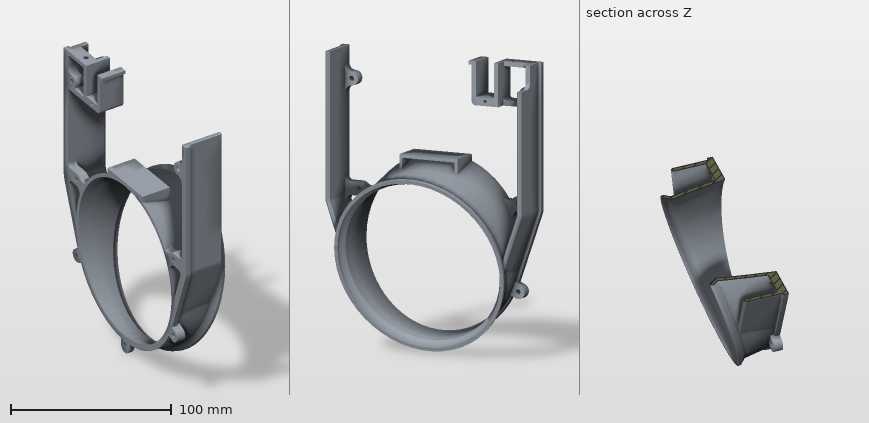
import cadquery as cq
import math


TILT = 15.0
TUBE_OUTER_R = 55.7
TUBE_INNER_R = 53.3
MIDDLE_R = (TUBE_OUTER_R + TUBE_INNER_R) / 2
TUBE_LENGTH = 34.9
FLANGE_R = 58.5
FLANGE_RIM = 2.0
FLANGE_TAPER = 3.6
AXIS_Y = math.cos(math.radians(TILT))
AXIS_Z = -math.sin(math.radians(TILT))

OVERLAP = 1.0

TOP_Z = 120.4
HEIGHT = 188.02
HALF_WIDTH = 70.0
PLATE_DEPTH = 3.5
ROOT_FILLET = 0.7
PLATE_STEP = 1.8
WALL = 3.0
WALL_DEPTH = 28.5
WALL_CHAMFER = 1.2
FRAME_WIDTH = PLATE_STEP + WALL
INNER_X = HALF_WIDTH - FRAME_WIDTH
BEND_Z = 25.5
TAPER = 19.3
TAPER_END_Z = -22.0
WALL_BEND_R = 8.0

RING_WIDTH = 4.0

BOSS_R = 4.5
BOSS_DEPTH = 6.1
SCREW_R = 1.65
UPPER_BOSS_X = INNER_X - BOSS_R
UPPER_BOSS_Z = 100.1
MIDDLE_BOSS_X = 55.4
MIDDLE_BOSS_Z = 30.5
SIDE_LUG_X = 55.3
SIDE_LUG_Z = -25.6
BOTTOM_HOLE_Z = -61.7
BOTTOM_LUG_Z = TOP_Z - HEIGHT + BOSS_R
LUG_BACK_OFFSET = 20.4

WEB_CORNER_R = 3.0
WEB_SHOULDER_X = 51.6
WEB_SHOULDER_DROP = 1.7
WEB_VALLEY_X = 48.3
WEB_VALLEY_DROP = 2.8
SLOT_TOP_Z = 26.2
SLOT_TIP_Z = -1.0
SLOT_SMALL_R = 2.8
SLOT_LARGE_R = 5.5
SLOT_FRAME_WIDTH = 5.1

SHEET = 2.9
WINDOW_RIGHT_X = -47.1
WINDOW_FLOOR_Z = TOP_Z - 24.4
WINDOW_TOP_R = 2.0
WINDOW_BOTTOM_R = 1.5
BOSS_FOOT_X = -57.2
CHANNEL_LEFT_X = WINDOW_RIGHT_X + SHEET
CHANNEL_RIGHT_X = -31.6
CHANNEL_FLOOR_Z = TOP_Z - 22.5
BRACKET_BOTTOM_Z = TOP_Z - 27.8
BRACKET_CORNER_R = 2.5
ROOF_DEPTH = 9.5
FLOOR_DEPTH = 10.6
CHANNEL_DEPTH = 17.5
LIP = 2.3
ROOF_HOLE_X = -52.5
ROOF_HOLE_Y = 5.3
ROOF_HOLE_R = 1.8
CHANNEL_HOLE_X = (CHANNEL_LEFT_X + CHANNEL_RIGHT_X) / 2
CHANNEL_HOLE_Z = TOP_Z - 25.0
CHANNEL_HOLE_R = 1.1
NOTCH_Y = 15.2
NOTCH_Z = TOP_Z - 15.0
NOTCH_R = 4.0

PAD_HALF_WIDTH = 20.1
PAD_TOP_Z = TOP_Z - 62.4
PAD_DEPTH = 20.3
PAD_ROOF = 2.3
PAD_SIDE = 1.8


def front_sketch(y=0.0):
    """Sketch plane with x and z as its axes; a negative extrusion runs toward +Y."""
    return cq.Workplane("XZ", origin=(0, y, 0))


def front_box(x0, x1, z0, z1, depth, y=0.0):
    corners = [(x0, z0), (x1, z0), (x1, z1), (x0, z1)]
    return front_sketch(y).polyline(corners).close().extrude(-depth)


def peg(x, z, radius, depth):
    return front_sketch().center(x, z).circle(radius).extrude(-depth)


def both_sides(shape):
    return shape.union(shape.mirror("YZ"))


def tilted_plane(axial):
    return cq.Plane(origin=(0, axial * AXIS_Y, axial * AXIS_Z), xDir=(1, 0, 0), normal=(0, AXIS_Y, AXIS_Z))


def tilted_disc(radius, start, length):
    return cq.Workplane(tilted_plane(start)).circle(radius).extrude(length)


def frame_x(z, inset):
    """Left x of the frame outline at height z, moved inward by inset."""
    slope = math.radians(TAPER)
    straight = -HALF_WIDTH + inset
    tapered = -HALF_WIDTH + (BEND_Z - z) * math.tan(slope) + inset / math.cos(slope)
    return max(straight, tapered)


def bend_z(inset):
    """Height where the straight and tapered sides meet, at this inset."""
    slope = math.radians(TAPER)
    return BEND_Z + inset * (1 / math.cos(slope) - 1) / math.tan(slope)


def side_strip(outer_inset, inner_inset, depth):
    """Bent strip that follows the left outline between two insets."""
    points = [
        (frame_x(TOP_Z, outer_inset), TOP_Z),
        (frame_x(TOP_Z, outer_inset), bend_z(outer_inset)),
        (frame_x(TAPER_END_Z, outer_inset), TAPER_END_Z),
        (frame_x(TAPER_END_Z, inner_inset), TAPER_END_Z),
        (frame_x(TOP_Z, inner_inset), bend_z(inner_inset)),
        (frame_x(TOP_Z, inner_inset), TOP_Z),
    ]
    strip = front_sketch().polyline(points).close().extrude(-depth)
    for (x, z), inset in ((points[1], outer_inset), (points[4], inner_inset)):
        bend = cq.selectors.NearestToPointSelector((x, depth / 2, z))
        strip = strip.edges("|Y").edges(bend).fillet(WALL_BEND_R + PLATE_STEP - inset)
    return strip


def side_frame():
    """Left side of the front plate with the deep wall standing on it."""
    plate = side_strip(0, SLOT_FRAME_WIDTH, PLATE_DEPTH)
    plate = plate.cut(front_box(-INNER_X, 0, BEND_Z + WEB_CORNER_R, TOP_Z, PLATE_DEPTH))
    wall = side_strip(PLATE_STEP, FRAME_WIDTH, WALL_DEPTH)
    wall = wall.faces(">Y").edges("not |X").chamfer(WALL_CHAMFER)
    frame = plate.union(wall)
    root_x = HALF_WIDTH - PLATE_STEP
    root_places = (
        (-root_x, (TOP_Z + BEND_Z) / 2),
        (-root_x, bend_z(PLATE_STEP)),
        (frame_x((BEND_Z + TAPER_END_Z) / 2, PLATE_STEP), (BEND_Z + TAPER_END_Z) / 2),
    )
    roots = cq.selectors.NearestToPointSelector((root_places[0][0], PLATE_DEPTH, root_places[0][1]))
    for x, z in root_places[1:]:
        roots = roots + cq.selectors.NearestToPointSelector((x, PLATE_DEPTH, z))
    return frame.edges(roots).fillet(ROOT_FILLET)


def ellipse_point(radius, z):
    """Left point at height z of the ellipse a tilted cylinder leaves in the front face."""
    return (-radius * math.sqrt(1 - (z * AXIS_Y / radius) ** 2), z)


def web():
    """Boss web that joins the left side wall to the tube."""
    top = MIDDLE_BOSS_Z + BOSS_R
    valley = top - WEB_VALLEY_DROP
    shoulder = (-WEB_SHOULDER_X, top - WEB_SHOULDER_DROP)
    tube_top = ellipse_point(MIDDLE_R, top)
    tube_low = ellipse_point(MIDDLE_R, SLOT_TIP_Z)
    return (
        front_sketch()
        .moveTo(-INNER_X - OVERLAP, top + WEB_CORNER_R)
        .lineTo(-INNER_X, top + WEB_CORNER_R)
        .radiusArc((-INNER_X + WEB_CORNER_R, top), -WEB_CORNER_R)
        .lineTo(-MIDDLE_BOSS_X, top)
        .tangentArcPoint(shoulder, relative=False)
        .threePointArc((-WEB_VALLEY_X, valley), tube_top)
        .threePointArc(ellipse_point(MIDDLE_R, (top + SLOT_TIP_Z) / 2), tube_low)
        .lineTo(frame_x(SLOT_TIP_Z, FRAME_WIDTH - OVERLAP), SLOT_TIP_Z)
        .lineTo(frame_x(BEND_Z, FRAME_WIDTH - OVERLAP), BEND_Z)
        .close()
        .extrude(-BOSS_DEPTH)
    )


def slot():
    """Rounded triangular opening between the left side wall and the tube."""
    corner_left = (frame_x(SLOT_TOP_Z, SLOT_FRAME_WIDTH), SLOT_TOP_Z)
    corner_right = ellipse_point(TUBE_OUTER_R, SLOT_TOP_Z)
    tip = (frame_x(SLOT_TIP_Z, SLOT_FRAME_WIDTH), SLOT_TIP_Z)
    middle = ellipse_point(MIDDLE_R, (SLOT_TOP_Z + SLOT_TIP_Z) / 2)
    hole = (
        front_sketch().moveTo(*tip).lineTo(*corner_left).lineTo(*corner_right)
        .threePointArc(middle, tip).close().extrude(-WALL_DEPTH)
    )
    for corner, radius in ((corner_left, SLOT_SMALL_R), (corner_right, SLOT_LARGE_R)):
        nearest = cq.selectors.NearestToPointSelector((corner[0], WALL_DEPTH / 2, corner[1]))
        hole = hole.edges("|Y").edges(nearest).fillet(radius)
    return hole


def boss_fillet(direction):
    """Concave corner from an upper boss to the left wall, above (+1) or below (-1) the boss."""
    wall_end = UPPER_BOSS_Z + direction * 2 * BOSS_R
    return (
        front_sketch()
        .moveTo(-INNER_X - OVERLAP, UPPER_BOSS_Z)
        .lineTo(-INNER_X - OVERLAP, wall_end)
        .lineTo(-INNER_X, wall_end)
        .radiusArc((-UPPER_BOSS_X, UPPER_BOSS_Z + direction * BOSS_R), -direction * BOSS_R)
        .lineTo(-UPPER_BOSS_X, UPPER_BOSS_Z)
        .close()
        .extrude(-BOSS_DEPTH)
    )


def upper_boss():
    boss = peg(-UPPER_BOSS_X, UPPER_BOSS_Z, BOSS_R, BOSS_DEPTH)
    return boss.union(boss_fillet(1)).union(boss_fillet(-1))


def lug(x, z):
    """Round lug joined to the ring by a straight radial neck."""
    reach = math.hypot(x, z)
    neck = front_sketch().rect(reach, 2 * BOSS_R).extrude(-BOSS_DEPTH).translate((reach / 2, 0, 0))
    neck = neck.rotate((0, 0, 0), (0, 1, 0), -math.degrees(math.atan2(z, x)))
    return peg(x, z, BOSS_R, BOSS_DEPTH).union(neck)


def bottom_lug():
    """Lowest lug; its back is cut parallel to the flange."""
    return lug(0, BOTTOM_LUG_Z).cut(tilted_disc(2 * FLANGE_R, LUG_BACK_OFFSET, TUBE_LENGTH))


def ring():
    """Lower half of the oval rim round the tube mouth."""
    height = TUBE_INNER_R / AXIS_Y + RING_WIDTH
    oval = cq.Workplane("XZ").ellipse(TUBE_INNER_R + RING_WIDTH, height).extrude(-PLATE_DEPTH)
    return oval.cut(front_box(-HALF_WIDTH, HALF_WIDTH, 0, HALF_WIDTH, PLATE_DEPTH))


def flared_bar(radius, mouth_radius):
    """Tilted round bar that flares to mouth_radius over its last stretch."""
    rim_start = TUBE_LENGTH - FLANGE_RIM
    taper_start = rim_start - FLANGE_TAPER
    bar = tilted_disc(radius, -TUBE_LENGTH, 2 * TUBE_LENGTH)
    cone = (
        cq.Workplane(tilted_plane(taper_start)).circle(radius)
        .workplane(offset=FLANGE_TAPER).circle(mouth_radius).loft()
    )
    return bar.union(cone).union(tilted_disc(mouth_radius, rim_start, FLANGE_RIM))


def tube():
    in_front = front_box(-2 * HALF_WIDTH, 2 * HALF_WIDTH, -TOP_Z, TOP_Z, TOP_Z, y=-TOP_Z)
    return flared_bar(TUBE_OUTER_R, FLANGE_R).cut(in_front)


def bore():
    return flared_bar(TUBE_INNER_R, FLANGE_R - (TUBE_OUTER_R - TUBE_INNER_R))


def corner_fill(x, z, toward_x, toward_z, radius, depth):
    """Concave round for an inside corner whose free space lies toward (toward_x, toward_z)."""
    arc_end = (x, z + toward_z * radius)
    return (
        front_sketch()
        .moveTo(x, z)
        .lineTo(x + toward_x * radius, z)
        .radiusArc(arc_end, toward_x * toward_z * radius)
        .close()
        .extrude(-depth)
    )


def bracket():
    right = CHANNEL_RIGHT_X + SHEET
    left = -INNER_X - OVERLAP
    channel = front_box(WINDOW_RIGHT_X, right, BRACKET_BOTTOM_Z, TOP_Z, CHANNEL_DEPTH)
    channel = channel.edges("|Y and >X and <Z").fillet(BRACKET_CORNER_R)
    channel = channel.cut(front_box(CHANNEL_LEFT_X, CHANNEL_RIGHT_X, CHANNEL_FLOOR_Z, TOP_Z, CHANNEL_DEPTH))
    lip = front_box(right, right + LIP, TOP_Z - LIP, TOP_Z, CHANNEL_DEPTH)
    roof = front_box(left, WINDOW_RIGHT_X, TOP_Z - SHEET, TOP_Z, ROOF_DEPTH)
    floor = front_box(left, WINDOW_RIGHT_X, BRACKET_BOTTOM_Z, WINDOW_FLOOR_Z, FLOOR_DEPTH)
    boss_foot = front_box(left, BOSS_FOOT_X, BRACKET_BOTTOM_Z, UPPER_BOSS_Z, BOSS_DEPTH)
    top_corner = corner_fill(-INNER_X, TOP_Z - SHEET, 1, -1, WINDOW_TOP_R, ROOF_DEPTH)
    foot_corner = corner_fill(BOSS_FOOT_X, WINDOW_FLOOR_Z, 1, 1, WINDOW_BOTTOM_R, BOSS_DEPTH)
    floor_corner = corner_fill(WINDOW_RIGHT_X, WINDOW_FLOOR_Z, -1, 1, WINDOW_BOTTOM_R, FLOOR_DEPTH)
    top_face = cq.Workplane("XY", origin=(ROOF_HOLE_X, ROOF_HOLE_Y, TOP_Z))
    roof_hole = top_face.circle(ROOF_HOLE_R).extrude(-SHEET)
    shape = channel.union(lip).union(roof).union(floor).union(boss_foot)
    shape = shape.union(top_corner).union(foot_corner).union(floor_corner)
    return shape.cut(roof_hole).cut(peg(CHANNEL_HOLE_X, CHANNEL_HOLE_Z, CHANNEL_HOLE_R, CHANNEL_DEPTH))


def wall_notch():
    """Rounded notch in the upper back corner of the left wall."""
    width = FRAME_WIDTH + OVERLAP
    block = cq.Workplane("XY").box(width, WALL_DEPTH, WALL_DEPTH, centered=(False, False, False))
    block = block.edges("|X and <Y and <Z").fillet(NOTCH_R)
    return block.translate((-HALF_WIDTH - OVERLAP, NOTCH_Y, NOTCH_Z))


def pad():
    solid = front_box(-PAD_HALF_WIDTH, PAD_HALF_WIDTH, 0, PAD_TOP_Z, PAD_DEPTH)
    inner = PAD_HALF_WIDTH - PAD_SIDE
    return solid.cut(front_box(-inner, inner, 0, PAD_TOP_Z - PAD_ROOF, PAD_DEPTH))


def screw_holes():
    places = [(0, BOTTOM_HOLE_Z)]
    for side in (-1, 1):
        places.append((side * UPPER_BOSS_X, UPPER_BOSS_Z))
        places.append((side * MIDDLE_BOSS_X, MIDDLE_BOSS_Z))
        places.append((side * SIDE_LUG_X, SIDE_LUG_Z))
    return front_sketch().pushPoints(places).circle(SCREW_R).extrude(-BOSS_DEPTH)


sides = both_sides(side_frame().union(web()).union(upper_boss()))
lugs = both_sides(lug(-SIDE_LUG_X, SIDE_LUG_Z)).union(bottom_lug())
body = sides.union(ring()).union(lugs).cut(both_sides(slot()))
body = body.cut(wall_notch()).union(bracket()).union(pad()).union(tube())
result = body.cut(bore()).cut(screw_holes())